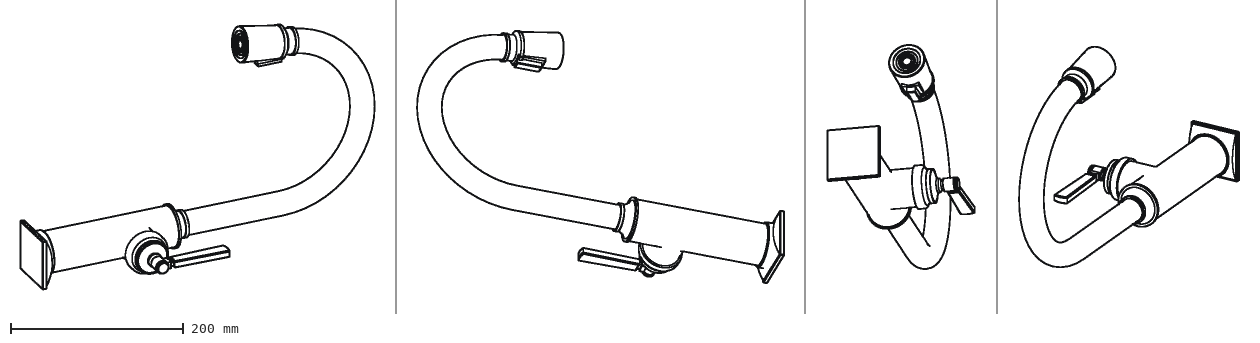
import cadquery as cq
import math


OVERALL_LENGTH = 437.7

PLATE_SIDE = 62.0
PLATE_THICK = 5.3
PLATE_EDGE = 1.0
DOME_SIDE = 58.5
DOME_TOP_Y = 13.0
BASE_RING_RADIUS = 26.5
BASE_RING_TOP_Y = 18.0
BASE_RING_EDGE = 1.5
BASE_FILLET = 1.5

BODY_RADIUS = 24.75
SHOULDER_BOTTOM_Y = 177.0
SHOULDER_TOP_Y = 179.5
SHOULDER_RADIUS = 26.3
FLARE_RADIUS = 22.8
NECK_RADIUS = 15.5
FLARE_MIDDLE_RADIUS = 17.5
NECK_TOP_Y = 190.5
NECK_RING_RADIUS = 16.5
NECK_RING_TOP_Y = 194.5

SPOUT_RADIUS = 14.5
BEND_RADIUS = 103.7
BEND_START_Y = OVERALL_LENGTH - SPOUT_RADIUS - BEND_RADIUS
HEAD_TILT = 8
BEND_ANGLE = 180 - HEAD_TILT

HEAD_LENGTH = 68.5
HEAD_RING_RADIUS = 16.5
HEAD_RING_LENGTH = 3.5
HEAD_NECK_RADIUS = 15.5
HEAD_FLARE_START = 12.3
HEAD_COLLAR_START = 15.8
HEAD_COLLAR_END = 19.5
HEAD_COLLAR_RADIUS = 20.0
HEAD_START_RADIUS = 19.3
HEAD_FACE_RADIUS = 21.5
HEAD_EDGE = 1.0
FACE_RECESS_RADIUS = 16.0
FACE_RECESS_DEPTH = 1.0
GROOVE_DEPTH = 1.5
FACE_GROOVES = [(12.5, 9.5), (7.5, 5.3)]

PAD_WIDTH = 20.0
PAD_START_Y = 284.5
PAD_END_Y = 318.0
PAD_BOTTOM_Z = 191.5
BUTTON_WIDTH = 10.5
BUTTON_START_Y = 287.5
BUTTON_END_Y = 318.0
BUTTON_BOTTOM_Z = 184.7
BUTTON_EDGE = 1.0

BRANCH_Y = 124.0
BRANCH_RADIUS = 22.8
BRANCH_FILLET = 2.5
VALVE_COLLAR_START = 46.5
VALVE_COLLAR_END = 53.5
VALVE_COLLAR_RADIUS = 25.5
VALVE_STEP_X = 57.0
VALVE_STEP_RADIUS = 22.0
VALVE_WAIST_X = 61.7
VALVE_WAIST_RADIUS = 19.3
VALVE_RIM_RADIUS = 20.0
VALVE_FACE_X = 66.5

BELL_RADIUS = 18.5
BELL_NECK_X = 71.0
BELL_NECK_RADIUS = 8.5
STEM_STEP_X = 73.5
STEM_RADIUS = 5.5
HUB_START_X = 79.0
HUB_END_X = 96.0
HUB_RADIUS = 7.65
HUB_EDGE = 1.5
HUB_GROOVE_X = 91.5
HUB_GROOVE_WIDTH = 1.5
HUB_GROOVE_DEPTH = 1.0
LEVER_X = 86.2
LEVER_START_Y = 139.0
LEVER_SIDE_END_Y = 209.0
LEVER_TIP_Y = 211.0
LEVER_START_WIDTH = 14.5
LEVER_END_WIDTH = 17.5
LEVER_THICK = 8.8
LEVER_BEVEL = 1.5
LEVER_SHANK_WIDTH = 11.5
LEVER_SHANK_THICK = 8.8
LEVER_SHANK_TOP_Y = 135.5
LEVER_WAIST_WIDTH = 9.5
LEVER_WAIST_THICK = 5.0


def block(x_limits, y_limits, z_limits):
    """Axis-aligned box between the given limits."""
    low, high = zip(x_limits, y_limits, z_limits)
    size = [b - a for a, b in zip(low, high)]
    return cq.Workplane("XY").box(*size, centered=False).translate(low)


def around_y(outline):
    """Turn an (r, y) outline, drawn in the XY plane, about the Y axis."""
    return outline.close().revolve(360, (0, 0, 0), (0, 1, 0))


def around_branch(outline):
    """Turn an (x, r) outline about the X axis and move it to the valve branch."""
    return outline.close().revolve(360, (0, 0, 0), (1, 0, 0)).translate((0, BRANCH_Y, 0))


def make_base():
    """Square plate, a block with an arched top and a round ring for the body."""
    half = PLATE_SIDE / 2
    plate = block((-half, half), (0, PLATE_THICK), (-half, half)).edges().chamfer(PLATE_EDGE)
    dome_half = DOME_SIDE / 2
    dome = (
        cq.Workplane("YZ")
        .moveTo(PLATE_THICK, -dome_half)
        .threePointArc((DOME_TOP_Y, 0), (PLATE_THICK, dome_half))
        .close()
        .extrude(dome_half, both=True)
    )
    ring = around_y(
        cq.Workplane("XY")
        .moveTo(0, PLATE_THICK / 2)
        .lineTo(BASE_RING_RADIUS, PLATE_THICK / 2)
        .lineTo(BASE_RING_RADIUS, BASE_RING_TOP_Y - BASE_RING_EDGE)
        .lineTo(BASE_RING_RADIUS - BASE_RING_EDGE, BASE_RING_TOP_Y)
        .lineTo(0, BASE_RING_TOP_Y)
    )
    raised = dome.union(ring).edges("%BSPLINE").fillet(BASE_FILLET)
    return plate.union(raised)


def make_column():
    """Straight body with its valve branch, the junction rounded."""
    column = around_y(
        cq.Workplane("XY")
        .moveTo(0, PLATE_THICK)
        .lineTo(BODY_RADIUS, PLATE_THICK)
        .lineTo(BODY_RADIUS, SHOULDER_BOTTOM_Y)
        .lineTo(0, SHOULDER_BOTTOM_Y)
    )
    branch = around_branch(
        cq.Workplane("XY")
        .lineTo(0, BRANCH_RADIUS)
        .lineTo(VALVE_COLLAR_START, BRANCH_RADIUS)
        .lineTo(VALVE_COLLAR_START, 0)
    )
    joined = column.union(branch)
    near_junction = cq.selectors.BoxSelector(
        (0, BRANCH_Y - BODY_RADIUS, -BODY_RADIUS),
        (BODY_RADIUS, BRANCH_Y + BODY_RADIUS, BODY_RADIUS),
    )
    return joined.edges(near_junction).fillet(BRANCH_FILLET)


def make_neck():
    """Shoulder flange, hollow flare and ring where the spout leaves the body."""
    flare_middle = (FLARE_MIDDLE_RADIUS, (SHOULDER_TOP_Y + NECK_TOP_Y) / 2)
    return around_y(
        cq.Workplane("XY")
        .moveTo(0, SHOULDER_BOTTOM_Y)
        .lineTo(SHOULDER_RADIUS, SHOULDER_BOTTOM_Y)
        .lineTo(SHOULDER_RADIUS, SHOULDER_TOP_Y)
        .lineTo(FLARE_RADIUS, SHOULDER_TOP_Y)
        .threePointArc(flare_middle, (NECK_RADIUS, NECK_TOP_Y))
        .lineTo(NECK_RING_RADIUS, NECK_TOP_Y)
        .lineTo(NECK_RING_RADIUS, NECK_RING_TOP_Y)
        .lineTo(0, NECK_RING_TOP_Y)
    )


def make_spout():
    """Straight tube followed by a circular bend that turns back over the body."""
    straight_length = BEND_START_Y - NECK_RING_TOP_Y
    straight = (
        cq.Workplane("XZ", origin=(0, NECK_RING_TOP_Y, 0)).circle(SPOUT_RADIUS).extrude(-straight_length)
    )
    bend = (
        cq.Workplane("XZ", origin=(0, BEND_START_Y, 0))
        .circle(SPOUT_RADIUS)
        .revolve(BEND_ANGLE, (0, BEND_RADIUS, 0), (1, BEND_RADIUS, 0))
    )
    return straight.union(bend)


def place_at_bend_end(shape):
    """Move a shape built along +Y from the origin onto the end of the bend."""
    tilt = math.radians(HEAD_TILT)
    end_y = BEND_START_Y + BEND_RADIUS * math.sin(tilt)
    end_z = BEND_RADIUS * (1 + math.cos(tilt))
    return shape.rotate((0, 0, 0), (1, 0, 0), BEND_ANGLE).translate((0, end_y, end_z))


def make_spray_head():
    """Turned spray head with a ring, a waist, a collar and a widening shell."""
    head = around_y(
        cq.Workplane("XY")
        .lineTo(HEAD_RING_RADIUS, 0)
        .lineTo(HEAD_RING_RADIUS, HEAD_RING_LENGTH)
        .lineTo(HEAD_NECK_RADIUS, HEAD_RING_LENGTH)
        .lineTo(HEAD_NECK_RADIUS, HEAD_FLARE_START)
        .lineTo(HEAD_COLLAR_RADIUS, HEAD_COLLAR_START)
        .lineTo(HEAD_COLLAR_RADIUS, HEAD_COLLAR_END)
        .lineTo(HEAD_START_RADIUS, HEAD_COLLAR_END)
        .lineTo(HEAD_FACE_RADIUS, HEAD_LENGTH)
        .lineTo(0, HEAD_LENGTH)
    )
    head = head.faces(">Y").edges().chamfer(HEAD_EDGE)
    floor_y = HEAD_LENGTH - FACE_RECESS_DEPTH
    face = cq.Workplane("XZ", origin=(0, HEAD_LENGTH, 0))
    head = head.cut(face.circle(FACE_RECESS_RADIUS).extrude(FACE_RECESS_DEPTH))
    for outer_radius, inner_radius in FACE_GROOVES:
        floor = cq.Workplane("XZ", origin=(0, floor_y, 0))
        head = head.cut(floor.circle(outer_radius).circle(inner_radius).extrude(GROOVE_DEPTH))
    return place_at_bend_end(head)


def make_spray_button():
    """Flat pad under the spray head with a narrower button standing on it."""
    root_z = PAD_BOTTOM_Z + HEAD_START_RADIUS
    pad = block((-PAD_WIDTH / 2, PAD_WIDTH / 2), (PAD_START_Y, PAD_END_Y), (PAD_BOTTOM_Z, root_z))
    button = block(
        (-BUTTON_WIDTH / 2, BUTTON_WIDTH / 2),
        (BUTTON_START_Y, BUTTON_END_Y),
        (BUTTON_BOTTOM_Z, root_z),
    )
    return pad.union(button.faces("<Z").edges().chamfer(BUTTON_EDGE))


def make_valve_cap():
    """Collar, rounded step and rim that close the valve branch."""
    round_middle = (
        VALVE_COLLAR_END + (VALVE_STEP_X - VALVE_COLLAR_END) * math.sin(math.radians(45)),
        VALVE_STEP_RADIUS + (VALVE_COLLAR_RADIUS - VALVE_STEP_RADIUS) * math.cos(math.radians(45)),
    )
    return around_branch(
        cq.Workplane("XY")
        .moveTo(VALVE_COLLAR_START, 0)
        .lineTo(VALVE_COLLAR_START, VALVE_COLLAR_RADIUS)
        .lineTo(VALVE_COLLAR_END, VALVE_COLLAR_RADIUS)
        .threePointArc(round_middle, (VALVE_STEP_X, VALVE_STEP_RADIUS))
        .lineTo(VALVE_WAIST_X, VALVE_WAIST_RADIUS)
        .lineTo(VALVE_WAIST_X, VALVE_RIM_RADIUS)
        .lineTo(VALVE_FACE_X, VALVE_RIM_RADIUS)
        .lineTo(VALVE_FACE_X, 0)
    )


def make_faucet():
    """Everything fixed to the body, from the base plate to the spray head."""
    faucet = make_base().union(make_column())
    for piece in (
        make_neck(),
        make_spout(),
        make_spray_head(),
        make_spray_button(),
        make_valve_cap(),
    ):
        faucet = faucet.union(piece)
    return faucet


def make_handle_stem():
    """Bell against the valve face, a stepped stem and the lever hub."""
    groove_end_x = HUB_GROOVE_X + HUB_GROOVE_WIDTH
    groove_radius = HUB_RADIUS - HUB_GROOVE_DEPTH
    return around_branch(
        cq.Workplane("XY")
        .moveTo(VALVE_FACE_X, 0)
        .lineTo(VALVE_FACE_X, BELL_RADIUS)
        .lineTo(BELL_NECK_X, BELL_NECK_RADIUS)
        .lineTo(STEM_STEP_X, BELL_NECK_RADIUS)
        .lineTo(STEM_STEP_X + BELL_NECK_RADIUS - STEM_RADIUS, STEM_RADIUS)
        .lineTo(HUB_START_X, STEM_RADIUS)
        .lineTo(HUB_START_X, HUB_RADIUS)
        .lineTo(HUB_GROOVE_X, HUB_RADIUS)
        .lineTo(HUB_GROOVE_X, groove_radius)
        .lineTo(groove_end_x, groove_radius)
        .lineTo(groove_end_x, HUB_RADIUS)
        .lineTo(HUB_END_X - HUB_EDGE, HUB_RADIUS)
        .lineTo(HUB_END_X, HUB_RADIUS - HUB_EDGE)
        .lineTo(HUB_END_X, 0)
    )


def lever_post(width, thick, top_y):
    """Rectangular post that rises from the hub axis to top_y."""
    return block(
        (LEVER_X - width / 2, LEVER_X + width / 2),
        (BRANCH_Y, top_y),
        (-thick / 2, thick / 2),
    )


def make_lever():
    """Tapered, bevelled lever with an arched tip, carried on a stepped shank."""
    start_half = LEVER_START_WIDTH / 2
    end_half = LEVER_END_WIDTH / 2
    blade = (
        cq.Workplane("XY")
        .moveTo(LEVER_X - start_half, LEVER_START_Y)
        .lineTo(LEVER_X - end_half, LEVER_SIDE_END_Y)
        .threePointArc((LEVER_X, LEVER_TIP_Y), (LEVER_X + end_half, LEVER_SIDE_END_Y))
        .lineTo(LEVER_X + start_half, LEVER_START_Y)
        .close()
        .extrude(LEVER_THICK / 2, both=True)
        .faces("|Z")
        .edges()
        .chamfer(LEVER_BEVEL)
    )
    shank = lever_post(LEVER_SHANK_WIDTH, LEVER_SHANK_THICK, LEVER_SHANK_TOP_Y)
    waist = lever_post(LEVER_WAIST_WIDTH, LEVER_WAIST_THICK, LEVER_START_Y)
    return blade.union(shank).union(waist)


def make_handle():
    """Stem and lever in one piece."""
    return make_handle_stem().union(make_lever())


faucet = make_faucet()
handle = make_handle()
result = cq.Compound.makeCompound([faucet.val(), handle.val()])